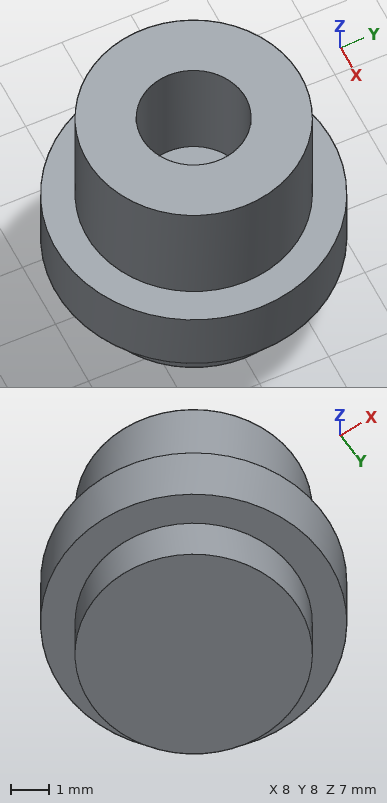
import cadquery as cq

flange_diameter = 8
body_diameter = 6.2
bore_diameter = 3.0
total_height = 7.0
flange_height = 2

flange_top = total_height / 2
flange_bottom = flange_top - flange_height
bore_depth = total_height - flange_top

body = cq.Workplane("XY").circle(body_diameter / 2).extrude(total_height)

flange = (
    cq.Workplane("XY")
    .workplane(offset=flange_bottom)
    .circle(flange_diameter / 2)
    .extrude(flange_height)
)

result = body.union(flange).faces(">Z").workplane().hole(bore_diameter, bore_depth)